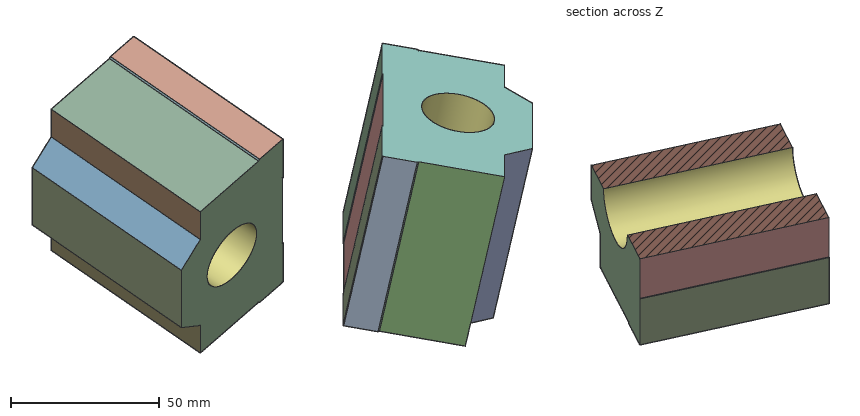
import cadquery as cq

length = 67.0
depth = 51.5
height = 76.0

pad_depth = 12.0
pad_step = 0.5
pad_edge_run = 0.5
back_edge_chamfer = 0.3

relief_height = 34.65
relief_depth = 0.3

nose_projection = 9.6
nose_base_height = 45.6
nose_flat_height = 30.4

bore_diameter = 25.0
bore_from_back = 26.0

back_y = bore_from_back
front_y = back_y - depth
shoulder_y = front_y + nose_projection
pad_front_y = back_y - pad_depth
relief_y = back_y - relief_depth
pad_z = height / 2
body_z = pad_z - pad_step

upper_outline = [
    (front_y, nose_flat_height / 2),
    (shoulder_y, nose_base_height / 2),
    (shoulder_y, body_z),
    (pad_front_y - pad_edge_run, body_z),
    (pad_front_y, pad_z),
    (back_y - back_edge_chamfer, pad_z),
    (back_y, pad_z - back_edge_chamfer),
    (back_y, relief_height / 2),
    (relief_y, relief_height / 2),
]
lower_outline = [(y, -z) for y, z in reversed(upper_outline)]

body = (
    cq.Workplane("YZ")
    .polyline(upper_outline + lower_outline)
    .close()
    .extrude(length / 2, both=True)
)
bore = cq.Workplane("YZ").circle(bore_diameter / 2).extrude(length / 2, both=True)

result = body.cut(bore)